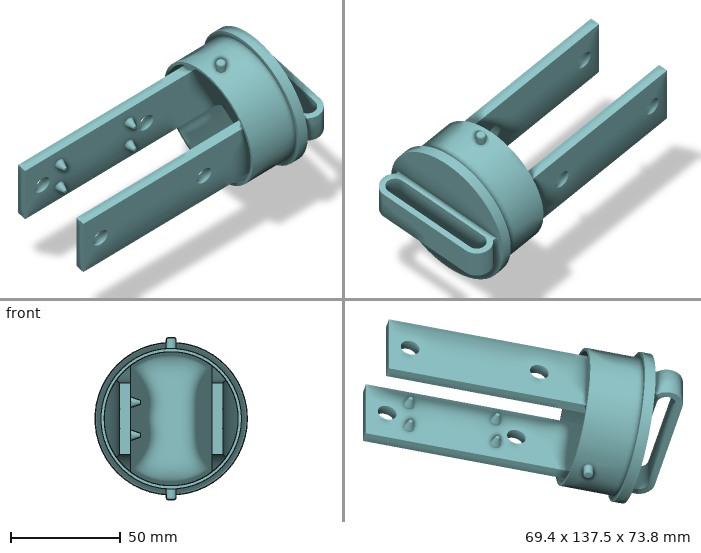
import cadquery as cq
import math

FLANGE_DIAMETER = 69.42
FLANGE_THICKNESS = 5.0
CUP_DIAMETER = 64.0
CUP_BORE = 61.0
CUP_DEPTH = 25.0
FLOOR_Y = -FLANGE_THICKNESS
CUP_RIM_Y = FLOOR_Y - CUP_DEPTH

PLATE_GAP = 37.0
PLATE_THICKNESS = 5.0
PLATE_HEIGHT = 32.5
PLATE_REACH_PAST_RIM = 92.5
PLATE_END_Y = CUP_RIM_Y - PLATE_REACH_PAST_RIM
PLATE_ROOT_RADIUS = 8.0

HOLE_DIAMETER = 8.75
HOLE_END_DISTANCE = 10.0
HOLE_SPACING = 60.75
OUTER_HOLE_Y = PLATE_END_Y + HOLE_END_DISTANCE
INNER_HOLE_Y = OUTER_HOLE_Y + HOLE_SPACING

PEG_BASE_DIAMETER = 5.0
PEG_TIP_DIAMETER = 1.75
PEG_LENGTH = 4.5
PEG_SPACING_Y = 40.75
PEG_SPACING_Z = 15.0
PEG_CENTER_Y = (OUTER_HOLE_Y + INNER_HOLE_Y) / 2

PIN_DIAMETER = 4.5
PIN_SPAN = 73.79
PIN_END_RADIUS = 1.0
PIN_RIM_DISTANCE = 7.25
PIN_Y = CUP_RIM_Y + PIN_RIM_DISTANCE
PIN_ROOT_Z = (CUP_BORE + CUP_DIAMETER) / 4

HANDLE_HEIGHT = 15.0
HANDLE_LENGTH = 65.3
HANDLE_WALL = 3.0
HANDLE_WIDTH = 15.0
HANDLE_FOOT_RADIUS = 1.25


def cylinder_along_y(diameter, start_y, end_y):
    """A cylinder on the Y axis, running from start_y toward -Y."""
    plane = cq.Workplane("XZ", origin=(0, start_y, 0))
    return plane.circle(diameter / 2).extrude(start_y - end_y)


def make_flange_and_cup():
    flange = cylinder_along_y(FLANGE_DIAMETER, 0, FLOOR_Y)
    cup = cylinder_along_y(CUP_DIAMETER, FLOOR_Y, CUP_RIM_Y)
    bore = cylinder_along_y(CUP_BORE, FLOOR_Y, CUP_RIM_Y)
    return flange.union(cup.cut(bore))


def make_plate(side):
    """A plate whose root flares into the floor on its outer face and both edges, with mitred corners.

    Each flare is a long prism; their overlap, trimmed to the cup bore, is the plate.
    """
    inner_x = side * PLATE_GAP / 2
    outer_x = inner_x + side * PLATE_THICKNESS
    edge_z = PLATE_HEIGHT / 2
    root_y = FLOOR_Y - PLATE_ROOT_RADIUS
    arc_middle = PLATE_ROOT_RADIUS * (1 - math.sqrt(0.5))
    arc_middle_y = FLOOR_Y - arc_middle

    outward_flare = (
        cq.Workplane("XY")
        .moveTo(inner_x, FLOOR_Y)
        .lineTo(inner_x, PLATE_END_Y)
        .lineTo(outer_x, PLATE_END_Y)
        .lineTo(outer_x, root_y)
        .threePointArc(
            (outer_x + side * arc_middle, arc_middle_y),
            (outer_x + side * PLATE_ROOT_RADIUS, FLOOR_Y),
        )
        .close()
        .extrude(CUP_DIAMETER / 2, both=True)
    )
    edge_flare = (
        cq.Workplane("YZ")
        .moveTo(PLATE_END_Y, -edge_z)
        .lineTo(PLATE_END_Y, edge_z)
        .lineTo(root_y, edge_z)
        .threePointArc((arc_middle_y, edge_z + arc_middle), (FLOOR_Y, edge_z + PLATE_ROOT_RADIUS))
        .lineTo(FLOOR_Y, -edge_z - PLATE_ROOT_RADIUS)
        .threePointArc((arc_middle_y, -edge_z - arc_middle), (root_y, -edge_z))
        .close()
        .extrude(CUP_DIAMETER / 2, both=True)
    )
    bore = cylinder_along_y(CUP_BORE, FLOOR_Y, PLATE_END_Y)
    return outward_flare.intersect(edge_flare).intersect(bore)


def make_plate_holes():
    """Cylinders along X that pass through both plates."""
    return (
        cq.Workplane("YZ")
        .pushPoints([(OUTER_HOLE_Y, 0), (INNER_HOLE_Y, 0)])
        .circle(HOLE_DIAMETER / 2)
        .extrude(CUP_DIAMETER / 2, both=True)
    )


def make_peg(y, z):
    base_center = cq.Vector(-PLATE_GAP / 2, y, z)
    toward_other_plate = cq.Vector(1, 0, 0)
    cone = cq.Solid.makeCone(
        PEG_BASE_DIAMETER / 2, PEG_TIP_DIAMETER / 2, PEG_LENGTH, base_center, toward_other_plate
    )
    return cq.Workplane(cone)


def make_top_pin():
    """A pin rooted inside the cup wall, with a rounded end."""
    return (
        cq.Workplane("XY", origin=(0, PIN_Y, PIN_ROOT_Z))
        .circle(PIN_DIAMETER / 2)
        .extrude(PIN_SPAN / 2 - PIN_ROOT_Z)
        .faces(">Z")
        .edges()
        .fillet(PIN_END_RADIUS)
    )


def make_cap():
    cap = make_flange_and_cup()
    for side in (-1, 1):
        cap = cap.union(make_plate(side))
    cap = cap.cut(make_plate_holes())

    for side_y in (-1, 1):
        for side_z in (-1, 1):
            peg_y = PEG_CENTER_Y + side_y * PEG_SPACING_Y / 2
            peg_z = side_z * PEG_SPACING_Z / 2
            cap = cap.union(make_peg(peg_y, peg_z))

    top_pin = make_top_pin()
    bottom_pin = top_pin.mirror("XY")
    return cap.union(top_pin).union(bottom_pin)


def make_handle():
    """The round ends run into small concave foot arcs that meet the flange tangentially."""
    end_radius = HANDLE_HEIGHT / 2
    end_x = HANDLE_LENGTH / 2 - end_radius

    center_distance = end_radius + HANDLE_FOOT_RADIUS
    center_rise = end_radius - HANDLE_FOOT_RADIUS
    foot_x = end_x + math.sqrt(center_distance**2 - center_rise**2)
    touch_fraction = end_radius / center_distance
    touch_x = end_x + touch_fraction * (foot_x - end_x)
    touch_y = end_radius - touch_fraction * center_rise

    half_sweep = (math.pi - math.acos(center_rise / center_distance)) / 2
    foot_middle_x = foot_x - HANDLE_FOOT_RADIUS * math.sin(half_sweep)
    foot_middle_y = HANDLE_FOOT_RADIUS * (1 - math.cos(half_sweep))

    loop = (
        cq.Workplane("XY")
        .moveTo(-foot_x, 0)
        .lineTo(foot_x, 0)
        .threePointArc((foot_middle_x, foot_middle_y), (touch_x, touch_y))
        .threePointArc((end_x + end_radius, end_radius), (end_x, HANDLE_HEIGHT))
        .lineTo(-end_x, HANDLE_HEIGHT)
        .threePointArc((-end_x - end_radius, end_radius), (-touch_x, touch_y))
        .threePointArc((-foot_middle_x, foot_middle_y), (-foot_x, 0))
        .close()
        .extrude(HANDLE_WIDTH / 2, both=True)
    )
    slot = (
        cq.Workplane("XY", origin=(0, end_radius, 0))
        .slot2D(HANDLE_LENGTH - 2 * HANDLE_WALL, HANDLE_HEIGHT - 2 * HANDLE_WALL)
        .extrude(HANDLE_WIDTH / 2, both=True)
    )
    return loop.cut(slot)


cap = make_cap()
handle = make_handle()
result = cq.Compound.makeCompound([cap.solids().val(), handle.solids().val()])